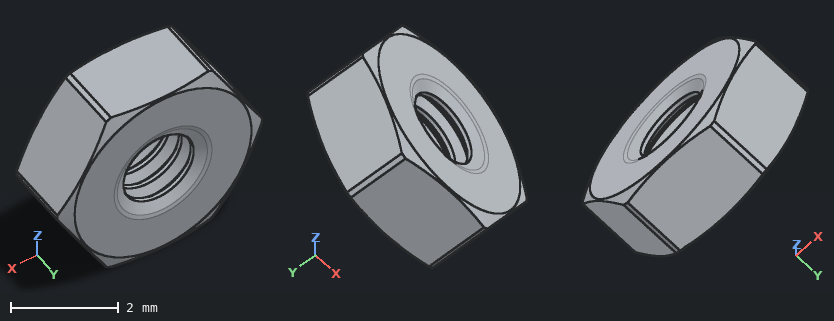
import cadquery as cq
import math

corner_diameter = 4.55
across_flats = 4.0
thickness = 1.6
face_diameter = 3.93
chamfer_angle = 20.0

major_diameter = 2.0
minor_diameter = 1.56
mouth_diameter = 2.175
thread_count = 4
flank_angle = 30.0

pitch = thickness / thread_count
flank_length = (major_diameter - minor_diameter) / 2 * math.tan(math.radians(flank_angle))
crest_length = pitch / 4
root_length = pitch - crest_length - 2 * flank_length


def revolve_about_y(points):
    """Revolve a closed (radius, axial position) outline about the Y axis."""
    return cq.Workplane("XY").polyline(points).close().revolve(360, (0, 0, 0), (0, 1, 0))


def make_hexagon():
    hexagon_diameter = across_flats / math.cos(math.radians(30))
    return (
        cq.Workplane("XZ")
        .polygon(6, hexagon_diameter)
        .extrude(thickness / 2, both=True)
    )


def make_corner_envelope():
    """Cylinder with both ends chamfered, which trims the hexagon corners."""
    outer_radius = corner_diameter / 2
    face_radius = face_diameter / 2
    half = thickness / 2
    chamfer_depth = (outer_radius - face_radius) * math.tan(math.radians(chamfer_angle))
    return revolve_about_y([
        (0, -half),
        (face_radius, -half),
        (outer_radius, chamfer_depth - half),
        (outer_radius, half - chamfer_depth),
        (face_radius, half),
        (0, half),
    ])


def make_threaded_bore():
    """Bore solid whose outline has one crest per pitch and a flared mouth at each end."""
    major_radius = major_diameter / 2
    minor_radius = minor_diameter / 2
    mouth_radius = mouth_diameter / 2
    half = thickness / 2
    points = [(0, -half), (mouth_radius, -half)]
    for index in range(thread_count):
        root_end = index * pitch + root_length / 2 - half
        crest_start = root_end + flank_length
        crest_end = crest_start + crest_length
        points += [
            (major_radius, root_end),
            (minor_radius, crest_start),
            (minor_radius, crest_end),
            (major_radius, crest_end + flank_length),
        ]
    points += [(mouth_radius, half), (0, half)]
    return revolve_about_y(points)


result = make_hexagon().intersect(make_corner_envelope()).cut(make_threaded_bore())